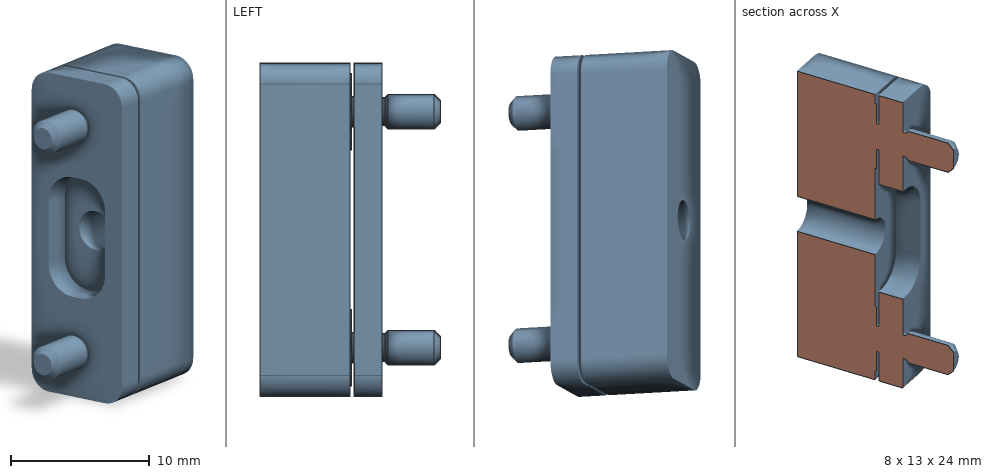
import cadquery as cq

width = 8.0
height = 24.0
depth = 13.0
corner_radius = 1.5

block_thickness = 6.5
plate_gap = 0.3
plate_thickness = 2.02

slot_width = 5.02
slot_height = 9.0
slot_corner_radius = 2.14
bolt_hole_diameter = 2.9

pin_spacing = 17.0
pin_diameter = 2.5
neck_diameter = 2.02
neck_length = 0.2
neck_chamfer = (pin_diameter - neck_diameter) / 2
tip_chamfer = 0.45

spacer_diameter = 2.2
collar_diameter = 4.5
collar_height = 0.1
lobe_count = 10
lobe_diameter = 1.0

block_front = -block_thickness
plate_back = block_front - plate_gap
plate_front = plate_back - plate_thickness


def rounded_bar(bar_width, bar_height, radius, back, front):
    """Rounded rectangle about the Y axis, filling the space from back to front."""
    return (
        cq.Workplane("XZ", origin=(0, back, 0))
        .rect(bar_width, bar_height)
        .extrude(back - front)
        .edges("|Y")
        .fillet(radius)
    )


def disc(diameter, back, front, height_offset=0):
    """Cylinder along Y from back to front."""
    return (
        cq.Workplane("XZ", origin=(0, back, height_offset))
        .circle(diameter / 2)
        .extrude(back - front)
    )


def lobed_collar(z):
    """Low round collar with lobes centred on its rim, one of them pointing up."""
    collar_front = block_front - collar_height
    lobes = (
        cq.Workplane("XZ", origin=(0, block_front, z))
        .polarArray(collar_diameter / 2, 90, 360, lobe_count)
        .circle(lobe_diameter / 2)
        .extrude(collar_height)
    )
    return disc(collar_diameter, block_front, collar_front, z).union(lobes)


def pin(z):
    """Pin on its collar: spacer in the gap, then a neck and a chamfered shank beyond the plate."""
    neck_end = plate_front - neck_length
    shank = (
        disc(pin_diameter, neck_end, -depth, z)
        .faces(">Y")
        .chamfer(neck_chamfer)
        .faces("<Y")
        .chamfer(tip_chamfer)
    )
    spacer = disc(spacer_diameter, block_front, plate_back, z)
    neck = disc(neck_diameter, plate_front, neck_end, z)
    return lobed_collar(z).union(spacer).union(neck).union(shank)


block = rounded_bar(width, height, corner_radius, 0, block_front)
block = block.cut(disc(bolt_hole_diameter, 0, block_front))

plate = rounded_bar(width, height, corner_radius, plate_back, plate_front)
plate = plate.cut(rounded_bar(slot_width, slot_height, slot_corner_radius, plate_back, plate_front))

result = block.union(plate)
for side in (-1, 1):
    result = result.union(pin(side * pin_spacing / 2))